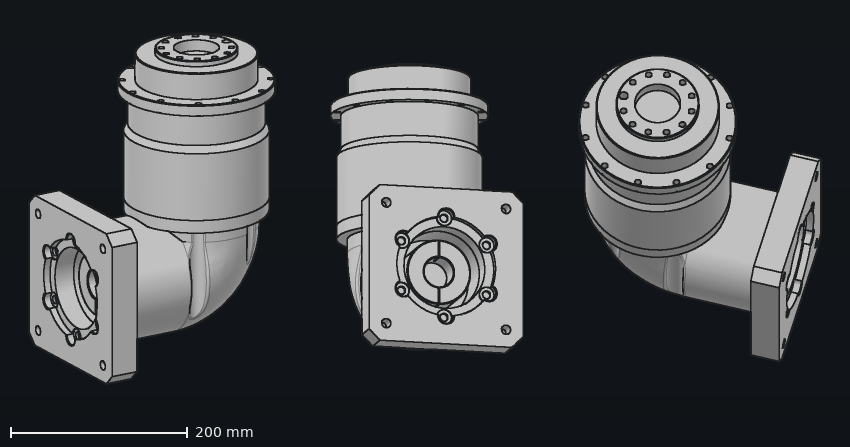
import cadquery as cq
import math

plate_size = 180.0
plate_corner_cut = 12.5
plate_thickness = 33.2
plate_front_y = -167.0
mount_hole_radius = 5.2
mount_hole_offset = 70.0
mount_hole_depth = 21.0
drill_tip_angle = 118.0
bore_radius = 47.2
recess_radius = 57.7
recess_depth = 8.5
screw_count = 6
screw_circle_radius = 57.5
screw_head_radius = 8.7
screw_head_depth = 9.8
screw_hole_radius = 4.5
screw_hole_depth = 3.5
screw_mouth_chamfer = 1.0

pipe_radius = 70.0
bend_radius = 50.5
bend_axis_y = -48.5
ring_bottom_z = 156.0
ring_top_z = 171.0
cavity_depth = 84.0
groove_radius = 9.8
groove_circle_radius = 76.0
groove_edge_round = 2.8
rim_tolerance = 0.005
groove_angles = (30, 150, 210, 330)

hub_front_depth = 33.2
hub_radius = 37.0
hub_bore_radius = 17.0
hub_bore_depth = 31.5
hub_chamfer = 1.0
slit_width = 1.7
slit_depth = 21.0

barrel_radius = 82.5
cone_bottom_z = 251.0
neck_bottom_z = 259.5
neck_radius = 78.0
flange_bottom_z = 298.5
flange_top_z = 311.5
flange_radius = 89.0
collar_top_z = 343.0
collar_radius = 69.5
overall_height = 349.7
disc_radius = 47.0
rim_chamfer = 1.0
flange_hole_count = 12
flange_hole_radius = 3.5
flange_hole_circle_radius = 84.3
disc_hole_count = 12
disc_hole_radius = 3.5
disc_hole_circle_radius = 40.0
disc_hole_depth = 14.0
dowel_hole_radius = 5.0
center_recess_radius = 26.0
center_recess_depth = 13.3

input_axis_z = plate_size / 2
plate_back_y = plate_front_y + plate_thickness
bend_axis_z = input_axis_z + bend_radius
cavity_floor_y = plate_front_y + cavity_depth
hub_front_y = plate_front_y + hub_front_depth


def polar_points(radius, angles):
    """Points on a circle at the given angles in degrees."""
    return [(radius * math.cos(math.radians(a)), radius * math.sin(math.radians(a))) for a in angles]


def rod_along_y(radius, start_y, end_y, x=0.0, z=input_axis_z):
    """Solid cylinder parallel to the input axis."""
    rod = cq.Solid.makeCylinder(radius, end_y - start_y, cq.Vector(x, start_y, z), cq.Vector(0, 1, 0))
    return cq.Workplane(obj=rod)


def rod_along_z(radius, bottom_z, top_z, x=0.0, y=0.0):
    """Solid cylinder parallel to the output axis."""
    rod = cq.Solid.makeCylinder(radius, top_z - bottom_z, cq.Vector(x, y, bottom_z))
    return cq.Workplane(obj=rod)


def drill(radius, depth, mouth, direction):
    """Blind drill shape: a cylinder ending in a conical tip."""
    tip_length = radius / math.tan(math.radians(drill_tip_angle / 2))
    shank = cq.Solid.makeCylinder(radius, depth, mouth, direction)
    tip = cq.Solid.makeCone(radius, 0, tip_length, mouth + direction * depth, direction)
    return shank.fuse(tip)


def make_plate():
    plate = (
        cq.Workplane("XY")
        .box(plate_size, plate_thickness, plate_size)
        .edges("|Y")
        .chamfer(plate_corner_cut)
        .translate((0, plate_front_y + plate_thickness / 2, input_axis_z))
    )
    plate = plate.cut(rod_along_y(bore_radius, plate_front_y, plate_back_y))
    plate = plate.cut(rod_along_y(recess_radius, plate_front_y, plate_front_y + recess_depth))

    head_floor_y = plate_front_y + screw_head_depth
    screw_angles = [30 + i * 360 / screw_count for i in range(screw_count)]
    for x, dz in polar_points(screw_circle_radius, screw_angles):
        z = input_axis_z + dz
        plate = plate.cut(rod_along_y(screw_head_radius, plate_front_y, head_floor_y, x, z))
        hole_end_y = head_floor_y + screw_hole_depth
        plate = plate.cut(rod_along_y(screw_hole_radius, head_floor_y, hole_end_y, x, z))
        mouth = cq.Solid.makeCone(
            screw_head_radius + screw_mouth_chamfer,
            screw_head_radius,
            screw_mouth_chamfer,
            cq.Vector(x, plate_front_y, z),
            cq.Vector(0, 1, 0),
        )
        plate = plate.cut(cq.Workplane(obj=mouth))

    for x_side in (-1, 1):
        for z_side in (-1, 1):
            mouth = cq.Vector(
                x_side * mount_hole_offset,
                plate_front_y,
                input_axis_z + z_side * mount_hole_offset,
            )
            hole = drill(mount_hole_radius, mount_hole_depth, mouth, cq.Vector(0, 1, 0))
            plate = plate.cut(cq.Workplane(obj=hole))
    return plate


def groove_rims(body, x, y):
    """Edges along which the groove centred at (x, y) breaks through the tube surface."""

    def is_on_wall(point):
        return abs(math.hypot(point.x - x, point.y - y) - groove_radius) < rim_tolerance

    rims = []
    for edge in body.edges().vals():
        points = edge.positions((0, 0.5, 1))
        if all(is_on_wall(point) for point in points) and points[1].z < ring_top_z - rim_tolerance:
            rims.append(edge)
    return rims


def make_elbow():
    chord = math.sqrt(pipe_radius**2 - bend_radius**2)
    bend = (
        cq.Workplane("XZ", origin=(0, bend_axis_y, bend_axis_z))
        .moveTo(-chord, 0)
        .threePointArc((0, -bend_radius - pipe_radius), (chord, 0))
        .close()
        .revolve(90, (0, 0, 0), (1, 0, 0))
    )
    elbow = bend.union(rod_along_y(pipe_radius, plate_back_y, bend_axis_y))
    riser_y = bend_axis_y + bend_radius
    elbow = elbow.union(rod_along_z(pipe_radius, bend_axis_z, ring_top_z, y=riser_y))
    for x, y in polar_points(groove_circle_radius, groove_angles):
        elbow = elbow.cut(rod_along_z(groove_radius, 0, ring_top_z, x, y))
        elbow = elbow.newObject(groove_rims(elbow, x, y)).fillet(groove_edge_round)
    elbow = elbow.union(rod_along_z(barrel_radius, ring_bottom_z, ring_top_z))

    return elbow.cut(rod_along_y(bore_radius, plate_back_y, cavity_floor_y))


def make_hub():
    hub = rod_along_y(hub_radius, hub_front_y, cavity_floor_y)
    hub = hub.cut(rod_along_y(hub_bore_radius, hub_front_y, hub_front_y + hub_bore_depth))
    hub = hub.faces("<Y").edges().chamfer(hub_chamfer)
    slit = cq.Workplane("XY").box(slit_width, slit_depth, 2 * hub_radius)
    return hub.cut(slit.translate((0, hub_front_y + slit_depth / 2, input_axis_z)))


def make_barrel():
    profile = [
        (0, ring_top_z),
        (barrel_radius, ring_top_z),
        (barrel_radius, cone_bottom_z),
        (neck_radius, neck_bottom_z),
        (neck_radius, flange_bottom_z),
        (flange_radius, flange_bottom_z),
        (flange_radius, flange_top_z - rim_chamfer),
        (flange_radius - rim_chamfer, flange_top_z),
        (collar_radius, flange_top_z),
        (collar_radius, collar_top_z - rim_chamfer),
        (collar_radius - rim_chamfer, collar_top_z),
        (disc_radius, collar_top_z),
        (disc_radius, overall_height - rim_chamfer),
        (disc_radius - rim_chamfer, overall_height),
        (0, overall_height),
    ]
    barrel = cq.Workplane("XZ").polyline(profile).close().revolve(360, (0, 0, 0), (0, 1, 0))
    floor_z = overall_height - center_recess_depth
    barrel = barrel.cut(rod_along_z(center_recess_radius, floor_z, overall_height))

    flange_angles = [i * 360 / flange_hole_count for i in range(flange_hole_count)]
    for x, y in polar_points(flange_hole_circle_radius, flange_angles):
        barrel = barrel.cut(rod_along_z(flange_hole_radius, flange_bottom_z, flange_top_z, x, y))

    disc_angles = [90 + i * 360 / disc_hole_count for i in range(disc_hole_count)]
    dowel_place, *hole_places = polar_points(disc_hole_circle_radius, disc_angles)
    dowel_bottom_z = overall_height - disc_hole_depth
    barrel = barrel.cut(rod_along_z(dowel_hole_radius, dowel_bottom_z, overall_height, *dowel_place))
    for x, y in hole_places:
        mouth = cq.Vector(x, y, overall_height)
        hole = drill(disc_hole_radius, disc_hole_depth, mouth, cq.Vector(0, 0, -1))
        barrel = barrel.cut(cq.Workplane(obj=hole))
    return barrel


plate = make_plate()
elbow = make_elbow()
hub = make_hub()
barrel = make_barrel()

result = cq.Compound.makeCompound([plate.val(), elbow.val(), hub.val(), barrel.val()])